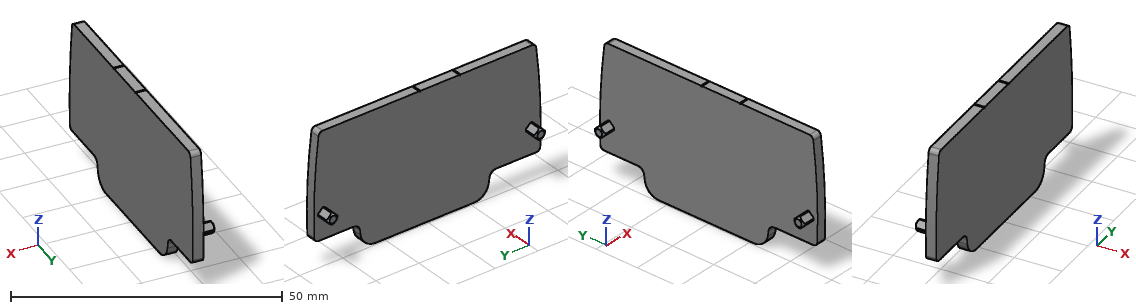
import cadquery as cq
import math

overall_length_x = 5.1
plate_thickness = 2.2
plate_width = 52.74
plate_height = 29.1
top_z = 17.95
bottom_z = top_z - plate_height
shoulder_z = -5.7
side_bow_radius = 140.0
corner_radius = 1.0

tab_center_y = 0.6
tab_root_half_width = 15.25
tab_draft_angle = 8.0
tab_root_radius = 1.5
tab_tip_radius = 3.5

groove_positions_y = (1.75, -7.6)
groove_width = 0.25
groove_depth = 0.2

pin_spacing = 48.3
pin_length = overall_length_x - plate_thickness
pin_radius = 1.33
pin_tip_radius = 0.8
pin_tip_length = 0.4
pin_across_flats = 2.1


def bow_half_width(z):
    """Half width of the bowed plate sides, widest at the pin height."""
    return plate_width / 2 - side_bow_radius + math.sqrt(side_bow_radius**2 - z**2)


def make_body():
    """Upper body of the plate, with bowed sides and rounded corners."""
    top_half = bow_half_width(top_z)
    shoulder_half = bow_half_width(shoulder_z)
    widest = plate_width / 2
    return (
        cq.Workplane("YZ")
        .moveTo(-shoulder_half, shoulder_z)
        .lineTo(shoulder_half, shoulder_z)
        .threePointArc((widest, 0), (top_half, top_z))
        .lineTo(-top_half, top_z)
        .threePointArc((-widest, 0), (-shoulder_half, shoulder_z))
        .close()
        .extrude(plate_thickness)
        .edges("|X")
        .fillet(corner_radius)
    )


def add_tab(body):
    """Join the tapered tab to the shoulders and round its root and tip corners."""
    drop = shoulder_z - bottom_z
    tip_half_width = tab_root_half_width - drop * math.tan(math.radians(tab_draft_angle))
    overlap = corner_radius
    outline = [
        (-tab_root_half_width, shoulder_z + overlap),
        (-tab_root_half_width, shoulder_z),
        (-tip_half_width, bottom_z),
        (tip_half_width, bottom_z),
        (tab_root_half_width, shoulder_z),
        (tab_root_half_width, shoulder_z + overlap),
    ]
    tab = (
        cq.Workplane("YZ")
        .center(tab_center_y, 0)
        .polyline(outline)
        .close()
        .extrude(plate_thickness)
    )

    def edges_at(z, half_width):
        margin = 0.1
        return cq.selectors.BoxSelector(
            (-margin, tab_center_y - half_width - margin, z - margin),
            (plate_thickness + margin, tab_center_y + half_width + margin, z + margin),
        )

    plate = body.union(tab)
    plate = plate.edges("|X").edges(edges_at(bottom_z, tip_half_width)).fillet(tab_tip_radius)
    return plate.edges("|X").edges(edges_at(shoulder_z, tab_root_half_width)).fillet(tab_root_radius)


def make_groove(y):
    """V-shaped cutter running through the plate thickness at the top edge."""
    return (
        cq.Workplane("YZ")
        .moveTo(y - groove_width / 2, top_z)
        .lineTo(y, top_z - groove_depth)
        .lineTo(y + groove_width / 2, top_z)
        .close()
        .extrude(plate_thickness)
    )


def make_pin(y):
    """Pin pointing to -X, with its four flats turned 45 degrees to the plate."""
    shank_length = pin_length - pin_tip_length
    round_pin = (
        cq.Workplane("XY")
        .moveTo(0, 0)
        .lineTo(0, pin_radius)
        .lineTo(-shank_length, pin_radius)
        .lineTo(-pin_length, pin_tip_radius)
        .lineTo(-pin_length, 0)
        .close()
        .revolve(360, (0, 0, 0), (1, 0, 0))
    )
    square_bar = (
        cq.Workplane("YZ")
        .rect(pin_across_flats, pin_across_flats)
        .extrude(-pin_length)
        .rotate((0, 0, 0), (1, 0, 0), 45)
    )
    return round_pin.intersect(square_bar).translate((0, y, 0))


result = add_tab(make_body())
for groove_y in groove_positions_y:
    result = result.cut(make_groove(groove_y))
for pin_y in (-pin_spacing / 2, pin_spacing / 2):
    result = result.union(make_pin(pin_y))